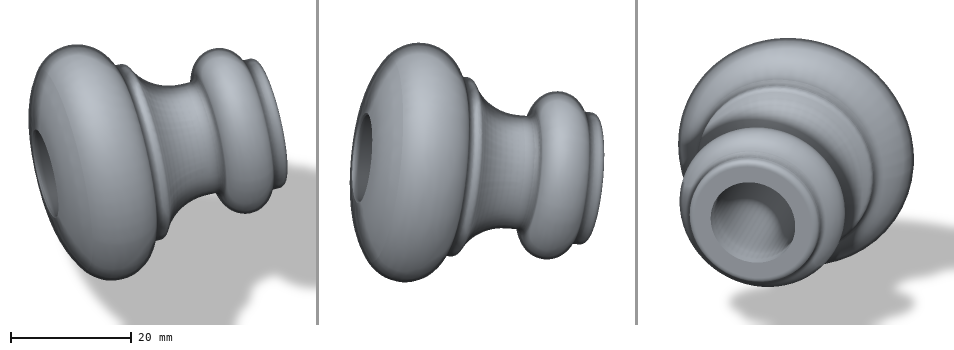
import cadquery as cq
import math


length = 39.0
blend_radius = 1.0

bore_radius = 7.25
bore_chamfer = 0.3

large_bead_outer_radius = 20.0
large_bead_radius = 6.65
large_bead_center = (large_bead_outer_radius - large_bead_radius, 8.5)

dome_center_radius = bore_radius + bore_chamfer
dome_to_bead = large_bead_center[0] - dome_center_radius
dome_radius = (dome_to_bead**2 + large_bead_center[1]**2 - large_bead_radius**2) / (
    2 * (large_bead_center[1] - large_bead_radius)
)
dome_center = (dome_center_radius, dome_radius)

small_bead_outer_radius = 14.05
small_bead_radius = 4.2
small_bead_center = (small_bead_outer_radius - small_bead_radius, 32.4)

large_collar_radius = 15.0
neck_radius = 9.47
small_collar_radius = 11.05

cove_radius = 9.5
cove_center = (neck_radius + cove_radius, 25.65)


def circle_point(center, radius, at_radius, side):
    """Point of a profile circle at a given part radius; side +1 is rearward, -1 is frontward."""
    offset = math.sqrt(radius**2 - (at_radius - center[0])**2)
    return (at_radius, center[1] + side * offset)


def internal_tangency(outer_center, outer_radius, inner_center):
    """Point where a profile circle touches a smaller one inside it."""
    dx = inner_center[0] - outer_center[0]
    dy = inner_center[1] - outer_center[1]
    scale = outer_radius / math.hypot(dx, dy)
    return (outer_center[0] + dx * scale, outer_center[1] + dy * scale)


def arc_middle(center, radius, start, end):
    """Middle point of the shorter arc between two points of a profile circle."""
    toward_x = (start[0] + end[0]) / 2 - center[0]
    toward_y = (start[1] + end[1]) / 2 - center[1]
    scale = radius / math.hypot(toward_x, toward_y)
    return (center[0] + toward_x * scale, center[1] + toward_y * scale)


dome_start = (dome_center[0], 0)
dome_end = internal_tangency(dome_center, dome_radius, large_bead_center)
large_bead_end = circle_point(large_bead_center, large_bead_radius, large_collar_radius, 1)
cove_start = circle_point(cove_center, cove_radius, large_collar_radius, -1)
cove_end = (neck_radius, cove_center[1])
small_bead_start = circle_point(small_bead_center, small_bead_radius, neck_radius, -1)
small_bead_end = circle_point(small_bead_center, small_bead_radius, small_collar_radius, 1)
small_bead_crest = (small_bead_outer_radius, small_bead_center[1])
rear_corner = (small_collar_radius, length)


def make_turned_body():
    profile = (
        cq.Workplane("XY")
        .moveTo(bore_radius, bore_chamfer)
        .lineTo(*dome_start)
        .threePointArc(arc_middle(dome_center, dome_radius, dome_start, dome_end), dome_end)
        .threePointArc((large_bead_outer_radius, large_bead_center[1]), large_bead_end)
        .lineTo(*cove_start)
        .threePointArc(arc_middle(cove_center, cove_radius, cove_start, cove_end), cove_end)
        .lineTo(*small_bead_start)
        .threePointArc(small_bead_crest, small_bead_end)
        .lineTo(*rear_corner)
        .lineTo(bore_radius, length)
        .close()
    )
    return profile.revolve(360, (0, 0), (0, 1))


def blend_corners(body):
    """Round the circular edges at the ends of the collars and at the neck."""
    tolerance = 0.01
    blended = body
    for radius, height in (large_bead_end, cove_start, small_bead_start, small_bead_end, rear_corner):
        reach = radius + tolerance
        edge_zone = cq.selectors.BoxSelector(
            (-reach, height - tolerance, -reach),
            (reach, height + tolerance, reach),
            boundingbox=True,
        )
        outer_edges = [
            edge
            for edge in blended.edges(edge_zone).vals()
            if edge.geomType() == "CIRCLE" and abs(edge.radius() - radius) < tolerance
        ]
        blended = blended.newObject(outer_edges).fillet(blend_radius)
    return blended


result = blend_corners(make_turned_body())